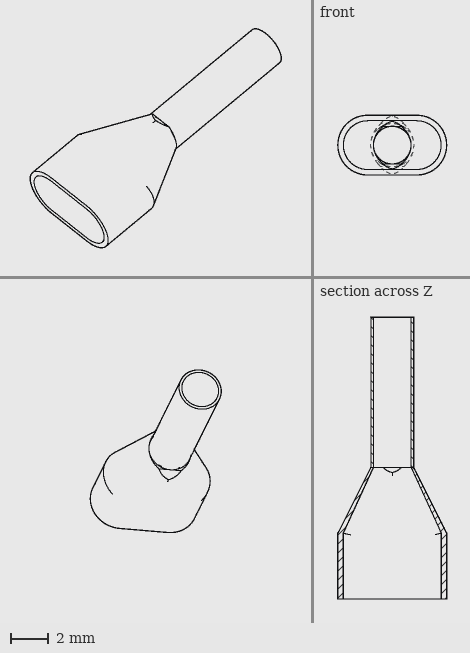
import cadquery as cq
import math

total_length = 15.0
sleeve_length = 7.0
mouth_width = 5.8
mouth_height = 3.2
sleeve_wall = 0.3

tube_outer_diameter = 2.3
tube_wall = 0.15
tube_bore_diameter = tube_outer_diameter - 2 * tube_wall

knee_y = sleeve_length / 2


def stadium_bar(width, height, start_y, length):
    """Bar along Y with fully rounded sides, centred on the Y axis."""
    return (
        cq.Workplane("XZ", origin=(0, start_y, 0))
        .slot2D(width, height)
        .extrude(-length)
    )


def tapered_side(side, width, height, end_width):
    """Oversized round-edged bar whose outer edge follows one tapering side (side = +1 or -1)."""
    taper_angle = math.degrees(math.atan2((width - end_width) / 2, sleeve_length - knee_y))
    bar_width = 2 * total_length
    bar = stadium_bar(bar_width, height, -total_length, 2 * total_length)
    return (
        bar.translate((-side * bar_width / 2, 0, 0))
        .rotate((0, 0, 0), (0, 0, 1), side * taper_angle)
        .translate((side * width / 2, knee_y, 0))
    )


def chamfered_profile(width, height, end_height):
    """Side profile with 45 degree flats that lower the tube end to end_height."""
    half_height = height / 2
    half_end = end_height / 2
    chamfer_y = sleeve_length - (half_height - half_end)
    return (
        cq.Workplane("YZ")
        .polyline([
            (0, -half_height),
            (chamfer_y, -half_height),
            (sleeve_length, -half_end),
            (sleeve_length, half_end),
            (chamfer_y, half_height),
            (0, half_height),
        ])
        .close()
        .extrude(width / 2, both=True)
    )


def funnel(width, height, end_size):
    """Round-edged straight mouth, tapered in plan and chamfered towards the tube."""
    form = stadium_bar(width, height, 0, sleeve_length)
    for side in (-1, 1):
        form = form.intersect(tapered_side(side, width, height, end_size))
    return form.intersect(chamfered_profile(width, height, end_size))


def make_sleeve():
    """Sleeve with an open cavity that narrows to the bore of the tube."""
    outside = funnel(mouth_width, mouth_height, tube_outer_diameter)
    cavity = funnel(
        mouth_width - 2 * sleeve_wall,
        mouth_height - 2 * sleeve_wall,
        tube_bore_diameter,
    )
    return outside.cut(cavity)


def make_tube():
    """Straight tube that butts against the narrow end of the sleeve."""
    return (
        cq.Workplane("XZ", origin=(0, sleeve_length, 0))
        .circle(tube_outer_diameter / 2)
        .circle(tube_bore_diameter / 2)
        .extrude(-(total_length - sleeve_length))
    )


sleeve = make_sleeve()
tube = make_tube()

result = cq.Compound.makeCompound([sleeve.solids().val(), tube.solids().val()])